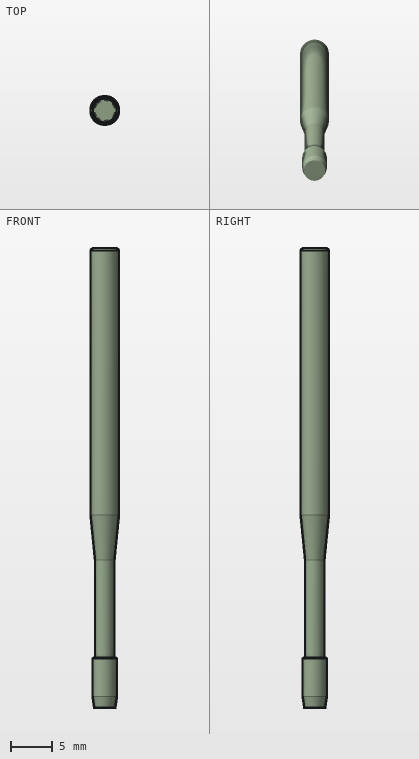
import cadquery as cq
import math

total_length = 56.0

thread_diameter = 3.0
thread_end = 6.0
tip_diameter = 2.58
lead_length = 1.4
shoulder_angle = 30.0

neck_diameter = 2.4
neck_end = 18.0
shank_start = 23.5
shank_diameter = 3.5
shank_chamfer = 0.3

thread_radius = thread_diameter / 2
tip_radius = tip_diameter / 2
neck_radius = neck_diameter / 2
shank_radius = shank_diameter / 2

shoulder_length = (thread_radius - neck_radius) * math.tan(math.radians(shoulder_angle))
neck_start = thread_end + shoulder_length


def revolve_about_z(profile):
    """Solid of revolution about Z from (radius, height) points."""
    axis_start = (0, 0)
    axis_end = (0, 1)
    return cq.Workplane("XZ").polyline(profile).close().revolve(360, axis_start, axis_end)


def make_threaded_head():
    """Tapered lead, cylindrical thread envelope and a sloped shoulder down to the neck."""
    return revolve_about_z([
        (0, 0),
        (tip_radius, 0),
        (thread_radius, lead_length),
        (thread_radius, thread_end),
        (neck_radius, neck_start),
        (0, neck_start),
    ])


def make_shank():
    """Neck, cone and cylindrical shank with a chamfered end."""
    return revolve_about_z([
        (0, neck_start),
        (neck_radius, neck_start),
        (neck_radius, neck_end),
        (shank_radius, shank_start),
        (shank_radius, total_length - shank_chamfer),
        (shank_radius - shank_chamfer, total_length),
        (0, total_length),
    ])


threaded_head = make_threaded_head()
shank = make_shank()

result = cq.Compound.makeCompound([threaded_head.val(), shank.val()])